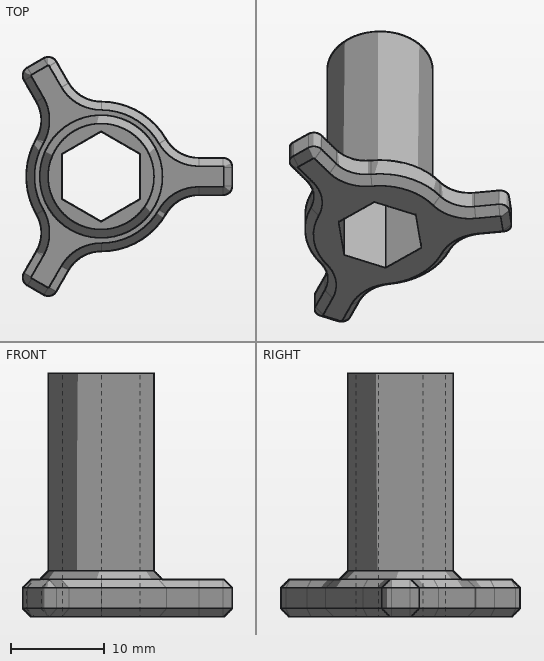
import cadquery as cq
import math

tube_diameter = 11.3
total_height = 26.0
hex_across_flats = 8.3

arm_count = 3
arm_reach = 14.0
arm_width = 4.0
arm_corner_radius = 1.0
hub_radius = 8.0
blend_radius = 4.0
flange_height = 4.0
edge_chamfer = 0.9

collar_height = 0.9

tube_radius = tube_diameter / 2
arm_angle = 360.0 / arm_count
arm_half_width = arm_width / 2


def polar(radius, degrees):
    """Point at a radius and angle around the tube axis."""
    angle = math.radians(degrees)
    return (radius * math.cos(angle), radius * math.sin(angle))


def turned(point, degrees):
    """Point rotated around the tube axis."""
    x, y = point
    return polar(math.hypot(x, y), math.degrees(math.atan2(y, x)) + degrees)


def mirrored(point):
    """Point reflected across the centre line of the arm along +X."""
    return (point[0], -point[1])


def make_flange():
    """Hub with three blended, round-cornered arms, chamfered top and bottom."""
    blend_y = arm_half_width + blend_radius
    blend_distance = hub_radius + blend_radius
    blend_x = math.sqrt(blend_distance**2 - blend_y**2)
    blend_direction = math.degrees(math.atan2(blend_y, blend_x))

    corner_x = arm_reach - arm_corner_radius
    corner_y = arm_half_width - arm_corner_radius
    corner_offset = arm_corner_radius * math.sqrt(0.5)
    end_point = (arm_reach, corner_y)
    corner_middle = (corner_x + corner_offset, corner_y + corner_offset)
    side_outer = (corner_x, arm_half_width)
    side_inner = (blend_x, arm_half_width)
    facing_axis = blend_direction + 180
    facing_arm = 270
    offset_x, offset_y = polar(blend_radius, (facing_axis + facing_arm) / 2)
    blend_middle = (blend_x + offset_x, blend_y + offset_y)
    hub_point = polar(hub_radius, blend_direction)

    outline = cq.Workplane("XY").moveTo(*mirrored(hub_point))
    for index in range(arm_count):
        turn = index * arm_angle
        next_turn = turn + arm_angle
        hub_middle = polar(hub_radius, turn + arm_angle / 2)
        outline = (
            outline
            .threePointArc(turned(mirrored(blend_middle), turn), turned(mirrored(side_inner), turn))
            .lineTo(*turned(mirrored(side_outer), turn))
            .threePointArc(turned(mirrored(corner_middle), turn), turned(mirrored(end_point), turn))
            .lineTo(*turned(end_point, turn))
            .threePointArc(turned(corner_middle, turn), turned(side_outer, turn))
            .lineTo(*turned(side_inner, turn))
            .threePointArc(turned(blend_middle, turn), turned(hub_point, turn))
            .threePointArc(hub_middle, turned(mirrored(hub_point), next_turn))
        )

    flange = outline.close().extrude(flange_height)
    return flange.faces("<Z or >Z").edges().chamfer(edge_chamfer)


def make_tube():
    """Round tube body with its 45 degree collar on top of the flange."""
    collar_top = flange_height + collar_height
    collar_radius = tube_radius + collar_height
    return (
        cq.Workplane("XZ")
        .lineTo(tube_radius, 0)
        .lineTo(tube_radius, flange_height)
        .lineTo(collar_radius, flange_height)
        .lineTo(tube_radius, collar_top)
        .lineTo(tube_radius, total_height)
        .lineTo(0, total_height)
        .close()
        .revolve(360, (0, 0, 0), (0, 1, 0))
    )


def make_bore():
    """Hexagonal prism with its flats facing +X and -X."""
    side_count = 6
    half_side_angle = 180 / side_count
    hex_across_corners = hex_across_flats / math.cos(math.radians(half_side_angle))
    return (
        cq.Workplane("XY")
        .transformed(rotate=(0, 0, half_side_angle))
        .polygon(side_count, hex_across_corners)
        .extrude(total_height)
    )


result = make_flange().union(make_tube()).cut(make_bore())